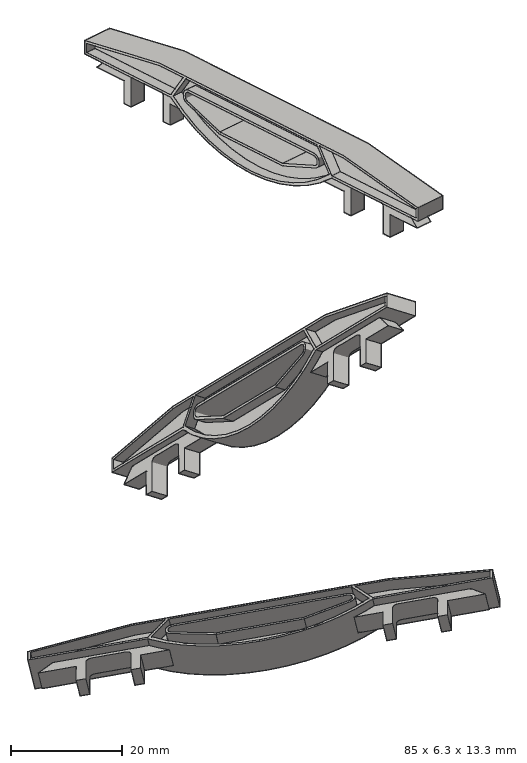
import cadquery as cq

length = 85.0
depth = 6.3
half_length = length / 2
top_z = 5.9
end_top_z = 2.8
flat_half_length = 23.5
belly_half_width = 20.6
belly_z = -7.4

wall = 0.5
web_thickness = 2.0

divider_foot_x = 20.6
divider_lean = 0.66
divider_half_width = 0.3

grip_half_width = 16.8
grip_floor_half_width = 8.0
grip_top_z = 2.8
grip_side_z = 1.1
grip_floor_z = -2.0
grip_corner_radius = 0.9

rail_thickness = 3.4
rail_z = -2.6
rail_tip_x = 40.9
rail_inner_x = 15.3
leg_width = 1.8
outer_leg_x = 33.1
inner_leg_x = 23.0
outer_leg_z = -7.3
inner_leg_z = -7.0
arch_z = -0.8
arch_radius = 1.0


def extrude_centred(profile, thickness):
    """Extrude an XZ profile equally to both sides of the Y = 0 plane."""
    return profile.extrude(thickness / 2, both=True)


def mirror_x(points):
    return [(-x, z) for x, z in points]


def make_bar():
    profile = (
        cq.Workplane("XZ")
        .moveTo(-half_length, 0)
        .lineTo(-half_length, end_top_z)
        .lineTo(-flat_half_length, top_z)
        .lineTo(flat_half_length, top_z)
        .lineTo(half_length, end_top_z)
        .lineTo(half_length, 0)
        .lineTo(belly_half_width, 0)
        .threePointArc((0, belly_z), (-belly_half_width, 0))
        .close()
    )
    return extrude_centred(profile, depth)


def divider_x(z):
    return divider_foot_x - divider_lean * z


def make_arm_panel(side):
    """Full-depth block filling one arm panel; side is -1 or 1."""
    slope = (top_z - end_top_z) / (half_length - flat_half_length)
    panel_top = top_z - wall
    panel_end = half_length - wall
    points = [
        (panel_end, wall),
        (panel_end, end_top_z + slope * wall - wall),
        (flat_half_length, panel_top),
        (divider_x(panel_top) + divider_half_width, panel_top),
        (divider_x(wall) + divider_half_width, wall),
    ]
    if side < 0:
        points = mirror_x(points)
    return extrude_centred(cq.Workplane("XZ").polyline(points).close(), depth)


def make_middle_panel():
    panel_top = top_z - wall
    upper_x = divider_x(panel_top) - divider_half_width
    lower_x = divider_x(wall) - divider_half_width
    profile = (
        cq.Workplane("XZ")
        .moveTo(-lower_x, wall)
        .lineTo(-upper_x, panel_top)
        .lineTo(upper_x, panel_top)
        .lineTo(lower_x, wall)
        .threePointArc((0, belly_z + wall), (-lower_x, wall))
        .close()
    )
    return extrude_centred(profile, depth)


def make_grip(margin):
    """Full-depth grip opening, enlarged all round by margin."""
    right = [
        (grip_floor_half_width, grip_floor_z),
        (grip_half_width, grip_side_z),
        (grip_half_width, grip_top_z),
    ]
    points = right + mirror_x(right)[::-1]
    outline = cq.Workplane("XZ").polyline(points).close()
    if margin > 0:
        outline = outline.offset2D(margin, "intersection")
    opening = extrude_centred(outline, depth)
    end_corners = opening.edges("|Y").edges("<X or >X")
    return end_corners.fillet(grip_corner_radius + margin)


def make_rail(side):
    """Rail with a bevelled tip and two legs joined by an arch."""
    half_leg = leg_width / 2
    points = [
        (rail_tip_x + rail_z, 0),
        (rail_tip_x, rail_z),
        (outer_leg_x + half_leg, rail_z),
        (outer_leg_x + half_leg, outer_leg_z),
        (outer_leg_x - half_leg, outer_leg_z),
        (outer_leg_x - half_leg, arch_z),
        (inner_leg_x + half_leg, arch_z),
        (inner_leg_x + half_leg, inner_leg_z),
        (inner_leg_x - half_leg, inner_leg_z),
        (inner_leg_x - half_leg, rail_z),
        (rail_inner_x, rail_z),
        (rail_inner_x, 0),
    ]
    if side < 0:
        points = mirror_x(points)
    rail = extrude_centred(cq.Workplane("XZ").polyline(points).close(), rail_thickness)
    arch_centre_x = side * (outer_leg_x + inner_leg_x) / 2
    arch_half_width = (outer_leg_x - inner_leg_x) / 2
    arch_zone = cq.selectors.BoxSelector(
        (arch_centre_x - arch_half_width, -depth, arch_z - arch_radius),
        (arch_centre_x + arch_half_width, depth, arch_z + arch_radius),
    )
    return rail.edges("|Y").edges(arch_zone).fillet(arch_radius)


panels = make_middle_panel().union(make_arm_panel(-1)).union(make_arm_panel(1))
panels = panels.cut(make_grip(wall))
web_zone = cq.Workplane("XY").box(2 * length, web_thickness, 2 * length)
recesses = panels.cut(web_zone)

body = make_bar()
for rail_side in (-1, 1):
    body = body.union(make_rail(rail_side))
result = body.cut(recesses).cut(make_grip(0))